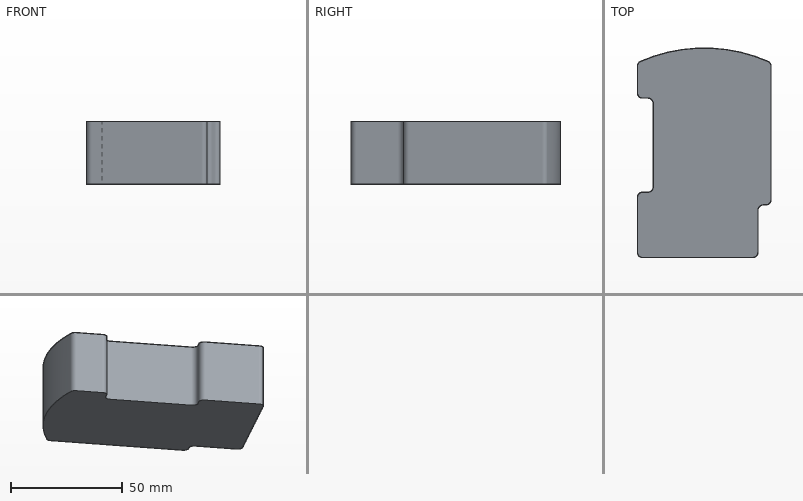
import cadquery as cq
import math

width = 60.21
length = 94.38
thickness = 28.33

crown_radius = 71.4

notch_depth = 7.1
notch_start = 29.5
notch_end = 71.75

step_depth = 5.9
step_length = 23.7

corner_radius = 2.38

left = -width / 2
right = width / 2
notch_floor = left + notch_depth
step_face = right - step_depth
crown_center = length - crown_radius
shoulder = crown_center + math.sqrt(crown_radius**2 - (width / 2) ** 2)


def make_blank():
    """Extrude the sharp-cornered outline of the block."""
    outline = (
        cq.Workplane("XY")
        .moveTo(left, 0)
        .lineTo(step_face, 0)
        .lineTo(step_face, step_length)
        .lineTo(right, step_length)
        .lineTo(right, shoulder)
        .threePointArc((0, length), (left, shoulder))
        .lineTo(left, notch_end)
        .lineTo(notch_floor, notch_end)
        .lineTo(notch_floor, notch_start)
        .lineTo(left, notch_start)
        .close()
    )
    return outline.extrude(thickness)


def round_upright_edges(block):
    """Round every inside and outside corner of the outline."""
    return block.edges("|Z").fillet(corner_radius)


result = round_upright_edges(make_blank())